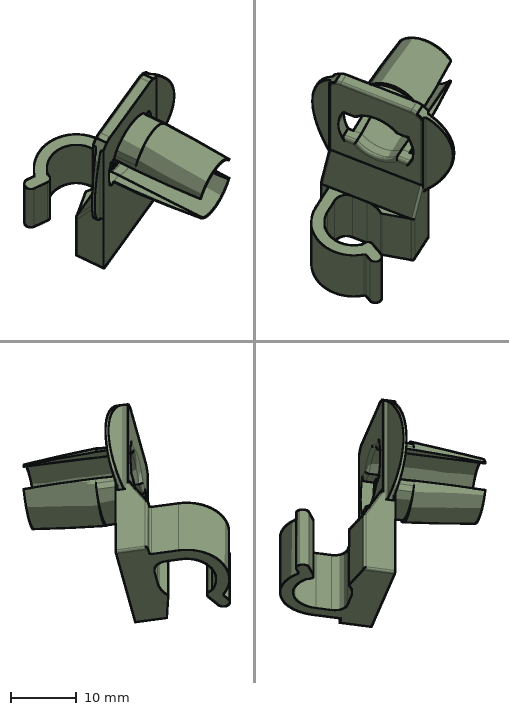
import cadquery as cq
import math

width = 16.0
half_width = width / 2
plate_thickness = 2.0
plate_top = 32.0
foot_depth = 5.0
foot_height = 10.0
slope_top = 15.0
edge_round = 0.4

axis_z = 22.0
disc_radius = 12.0
plate_corner_radius = 2.0
wing_root_front = -1.29
wing_root_rear = -0.47
wing_tip_front = 0.31
wing_tip_rear = 0.81
wing_root_round = 0.3
wing_anchor = 1.0

bore_radius = 4.5
slot_radius = 6.4
slot_half_height = 2.9
opening_round = 0.6

plug_length = 15.0
plug_straight_length = 3.73
plug_middle = 9.5
plug_root_half_width = 5.4
plug_root_half_height = 6.5
plug_middle_half_width = 5.27
plug_middle_half_height = 5.8
plug_tip_radius = 5.0
bore_tip_radius = 4.8
slot_tip_half_height = 2.47
neck_radius = 5.9
flank_top = 4.3
flank_bottom = 3.5

clip_x = -9.5
clip_inner_radius = 4.5
clip_wall = 2.0
clip_outer_radius = clip_inner_radius + clip_wall
clip_end_angle = 224.0
clip_root_inner_round = 2.0
clip_root_outer_round = 0.3
lip_x = -14.05
lip_y = -5.97
lip_angle = 60.0
lip_length = 3.17
lip_half_width = 1.0
lip_corner_round = 0.8
lip_neck_round = 0.3
nub_x = -6.1
nub_bottom = -7.5
nub_round = 0.3

margin = 1.0


def x_plane(x):
    """Plane across X on the plug axis: local x is +Y, local y is +Z."""
    return cq.Workplane("YZ", origin=(x, 0, axis_z))


def make_plate_and_foot():
    side_profile = [
        (-foot_depth, 0),
        (0, 0),
        (0, plate_top),
        (-plate_thickness, plate_top),
        (-plate_thickness, slope_top),
        (-foot_depth, foot_height),
    ]
    body = cq.Workplane("XZ").polyline(side_profile).close().extrude(half_width, both=True)

    top = plate_top - axis_z
    side_top = math.sqrt(disc_radius**2 - half_width**2)
    blend_center_z = top - plate_corner_radius
    blend_center_y = math.sqrt((disc_radius - plate_corner_radius) ** 2 - blend_center_z**2)
    blend_scale = disc_radius / (disc_radius - plate_corner_radius)
    blend_end = (blend_center_y * blend_scale, blend_center_z * blend_scale)
    face = (
        x_plane(-foot_depth)
        .moveTo(-half_width, -axis_z)
        .lineTo(half_width, -axis_z)
        .lineTo(half_width, side_top)
        .radiusArc(blend_end, -disc_radius)
        .radiusArc((blend_center_y, top), -plate_corner_radius)
        .lineTo(-blend_center_y, top)
        .radiusArc((-blend_end[0], blend_end[1]), -plate_corner_radius)
        .radiusArc((-half_width, side_top), -disc_radius)
        .close()
        .extrude(foot_depth)
    )
    body = body.intersect(face)

    return body.newObject(exposed_edges(body)).fillet(edge_round)


def exposed_edges(body):
    """Edges to round: the front outline of the plate and foot, and the sides of the foot's underside."""
    edges = []
    for edge in body.edges("not(>X)").vals():
        z = edge.Center().z
        size = edge.BoundingBox()
        along_y = size.ylen > max(size.xlen, size.zlen)
        along_x = size.xlen > max(size.ylen, size.zlen)
        crosses_front = along_y and z < axis_z
        runs_through_plate = along_x and z > foot_height
        if not crosses_front and not runs_through_plate:
            edges.append(edge)
    return edges


def make_wing():
    """Tapered blade on the +Y side, cut to the disc outline, blended into the plate's side."""
    anchor_y = half_width - wing_anchor
    anchor_front = wing_root_front - 2 * wing_root_round
    reach = disc_radius + margin
    run = (reach - half_width) / (disc_radius - half_width)
    far_front = wing_root_front + run * (wing_tip_front - wing_root_front)
    far_rear = wing_root_rear + run * (wing_tip_rear - wing_root_rear)
    profile = [
        (0, anchor_y),
        (0, half_width),
        (wing_root_rear, half_width),
        (far_rear, reach),
        (far_front, reach),
        (wing_root_front, half_width),
        (anchor_front, half_width),
        (anchor_front, anchor_y),
    ]
    blade = cq.Workplane("XY").polyline(profile).close().extrude(plate_top)
    for root_x in (wing_root_front, wing_root_rear):
        corner = cq.selectors.NearestToPointSelector((root_x, half_width, plate_top / 2))
        blade = blade.edges(corner).fillet(wing_root_round)
    disc = x_plane(-plate_thickness).circle(disc_radius).extrude(2 * plate_thickness)
    return blade.intersect(disc)


def oval(x, half_width_y, half_height_z):
    """Oval wire across X in two halves that meet at its sides, where the slot opens."""
    center = cq.Vector(x, 0, axis_z)
    along = cq.Vector(1, 0, 0)
    up = cq.Vector(0, 0, 1)
    halves = [
        cq.Edge.makeEllipse(half_height_z, half_width_y, center, along, up, start, start + 180)
        for start in (90, 270)
    ]
    return cq.Wire.assembleEdges(halves)


def make_neck():
    """Round neck behind the plate, kept within the plug's oval and trimmed by a flat on each flank."""
    oval_root = x_plane(0).ellipse(plug_root_half_width, plug_root_half_height).extrude(plug_straight_length)
    round_neck = x_plane(0).circle(neck_radius).extrude(plug_straight_length)

    top_y = math.sqrt(neck_radius**2 - flank_top**2)
    bottom_y = plug_root_half_width * math.sqrt(1 - (flank_bottom / plug_root_half_height) ** 2)
    lean = (bottom_y - top_y) / (flank_top - flank_bottom)
    side_y = top_y + lean * flank_top
    crown_y = side_y - lean * neck_radius
    flank_outline = [
        (crown_y, neck_radius),
        (side_y, 0),
        (crown_y, -neck_radius),
        (-crown_y, -neck_radius),
        (-side_y, 0),
        (-crown_y, neck_radius),
    ]
    flanks = x_plane(0).polyline(flank_outline).close().extrude(plug_straight_length)
    return round_neck.intersect(oval_root).intersect(flanks)


def make_plug_body():
    """Outer shape of the plug: an oval that tapers to a round tip, with a neck at the plate."""
    sections = [
        oval(plug_straight_length, plug_root_half_width, plug_root_half_height),
        oval(plug_middle, plug_middle_half_width, plug_middle_half_height),
        oval(plug_length, plug_tip_radius, plug_tip_radius),
    ]
    return make_neck().union(cq.Workplane(cq.Solid.makeLoft(sections)))


def make_plug_hollow():
    """Widening bore and narrowing slot that split the plug into an upper and a lower arm."""
    bore = (
        x_plane(0)
        .circle(bore_radius)
        .workplane(offset=plug_length)
        .circle(bore_tip_radius)
        .loft(combine=True)
    )
    slot_profile = [
        (0, axis_z - slot_half_height),
        (plug_length, axis_z - slot_tip_half_height),
        (plug_length, axis_z + slot_tip_half_height),
        (0, axis_z + slot_half_height),
    ]
    slot = cq.Workplane("XZ").polyline(slot_profile).close().extrude(slot_radius, both=True)
    return bore.union(slot)


def make_plate_opening():
    """Bore and side slots through the plate, flared at the front by a rounded edge."""
    front = -plate_thickness
    blank = x_plane(front).rect(width, width).extrude(plate_thickness)
    bore = x_plane(front).circle(bore_radius).extrude(plate_thickness)
    slot = x_plane(front).rect(2 * width, 2 * slot_half_height).extrude(plate_thickness)
    rim = blank.cut(bore).cut(slot)
    reach = half_width - margin
    low_corner = (front - margin, -reach, axis_z - reach)
    high_corner = (front + margin, reach, axis_z + reach)
    rim = rim.faces("<X").edges(cq.selectors.BoxSelector(low_corner, high_corner)).fillet(opening_round)
    limit = x_plane(front).circle(slot_radius).extrude(plate_thickness)
    return limit.cut(rim)


def polar(radius, degrees):
    """Point at a radius and angle around the clip's axis."""
    angle = math.radians(degrees)
    return (clip_x + radius * math.cos(angle), radius * math.sin(angle))


def vertical_edge(x, y):
    """Selector for the upright edge nearest to a point in plan, over the clip's height."""
    return cq.selectors.NearestToPointSelector((x, y, foot_height / 2))


def make_clip():
    """Open C-shaped clip: a straight arm flared at the foot, a curved jaw and an angled lip."""
    mid_angle = (90 + clip_end_angle) / 2
    root_x = -foot_depth
    jaw = (
        cq.Workplane("XY")
        .moveTo(root_x, clip_outer_radius + clip_root_outer_round)
        .radiusArc((root_x - clip_root_outer_round, clip_outer_radius), clip_root_outer_round)
        .lineTo(clip_x, clip_outer_radius)
        .threePointArc(polar(clip_outer_radius, mid_angle), polar(clip_outer_radius, clip_end_angle))
        .lineTo(*polar(clip_inner_radius, clip_end_angle))
        .threePointArc(polar(clip_inner_radius, mid_angle), (clip_x, clip_inner_radius))
        .lineTo(root_x - clip_root_inner_round, clip_inner_radius)
        .radiusArc((root_x, clip_inner_radius - clip_root_inner_round), clip_root_inner_round)
        .close()
        .extrude(foot_height)
    )
    lip = (
        cq.Workplane("XY")
        .moveTo(0, lip_half_width)
        .threePointArc((-lip_half_width, 0), (0, -lip_half_width))
        .lineTo(lip_length - lip_corner_round, -lip_half_width)
        .radiusArc((lip_length, -lip_half_width + lip_corner_round), -lip_corner_round)
        .lineTo(lip_length, lip_half_width)
        .close()
        .extrude(foot_height)
        .rotate((0, 0, 0), (0, 0, 1), lip_angle)
        .translate((lip_x, lip_y, 0))
    )
    clip = jaw.union(lip)
    return clip.edges(vertical_edge(*polar(clip_outer_radius, clip_end_angle))).fillet(lip_neck_round)


def make_nub():
    """Seat beside the clip mouth, hollowed to the clip's inner radius and ramped on the outside."""
    nub_top = -math.sqrt(clip_inner_radius**2 - (nub_x - clip_x) ** 2)
    nub = (
        cq.Workplane("XY")
        .moveTo(-foot_depth, 0)
        .radiusArc((nub_x, nub_top), clip_inner_radius)
        .lineTo(-foot_depth, nub_bottom)
        .close()
        .extrude(foot_height)
    )
    return nub.edges(vertical_edge(nub_x, nub_top)).fillet(nub_round)


wing = make_wing()
holder = make_plate_and_foot().union(make_clip()).union(make_nub())
holder = holder.union(wing).union(wing.mirror("XZ"))
plug = make_plug_body().cut(make_plug_hollow())
result = holder.cut(make_plate_opening()).union(plug)